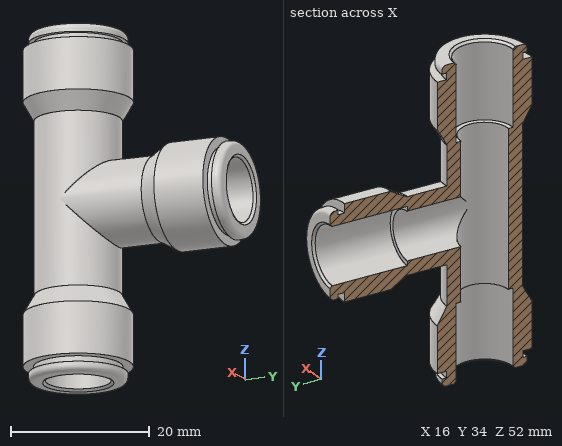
import math

import cadquery as cq

arm_length = 26.0

tube_dia = 12.8
body_dia = 16.0
neck_dia = 12.96
ring_dia = 14.4

ring_width = 1.4
ring_rounding = 0.8
neck_length = 1.0
body_length = 7.8
cone_angle = 30.0
cone_length = (body_dia - tube_dia) / 2 / math.tan(math.radians(cone_angle))

flow_bore_dia = 8.0
pipe_socket_dia = 9.53
mouth_chamfer = 0.375

ring_start = arm_length - ring_width
body_end = ring_start - neck_length
body_start = body_end - body_length
cone_start = body_start - cone_length


def end_outside():
    """Solid of the +Z end: cone, body, neck and ring, revolved from a half profile."""
    ring_radius = ring_dia / 2
    rounding_start = arm_length - ring_rounding
    profile = (
        cq.Workplane("XZ")
        .moveTo(0, cone_start)
        .lineTo(tube_dia / 2, cone_start)
        .lineTo(body_dia / 2, body_start)
        .lineTo(body_dia / 2, body_end)
        .lineTo(neck_dia / 2, body_end)
        .lineTo(neck_dia / 2, ring_start)
        .lineTo(ring_radius, ring_start)
        .lineTo(ring_radius, rounding_start)
        .radiusArc((ring_radius - ring_rounding, arm_length), -ring_rounding)
        .lineTo(0, arm_length)
        .close()
    )
    return profile.revolve(360, (0, 0, 0), (0, 1, 0))


def end_inside():
    """Void of the +Z end: a pipe socket, as deep as the end, with a chamfered mouth."""
    socket_radius = pipe_socket_dia / 2
    profile = (
        cq.Workplane("XZ")
        .moveTo(0, cone_start)
        .lineTo(socket_radius, cone_start)
        .lineTo(socket_radius, arm_length - mouth_chamfer)
        .lineTo(socket_radius + mouth_chamfer, arm_length)
        .lineTo(0, arm_length)
        .close()
    )
    return profile.revolve(360, (0, 0, 0), (0, 1, 0))


def tee_of(end, run_dia):
    """Round run and branch of one diameter, with the given +Z end on all three arms."""
    run = cq.Workplane("XY").circle(run_dia / 2).extrude(cone_start, both=True)
    branch = cq.Workplane("XZ").circle(run_dia / 2).extrude(-cone_start)
    tee = run.union(branch)
    for turn_about_x in (0, 180, -90):
        tee = tee.union(end.rotate((0, 0, 0), (1, 0, 0), turn_about_x))
    return tee


outside = tee_of(end_outside(), tube_dia)
inside = tee_of(end_inside(), flow_bore_dia)
result = outside.cut(inside)